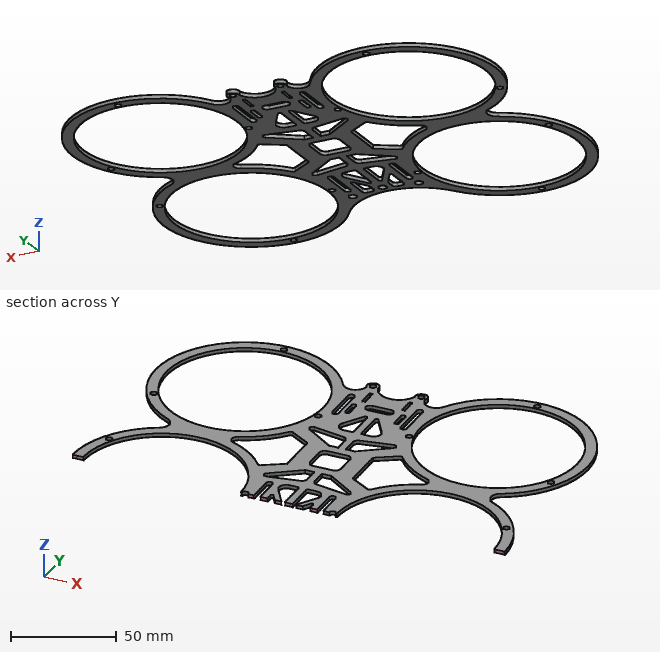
import cadquery as cq
import math

thickness = 2.0
ring_x = 66.1
ring_y = 46.5
ring_radius = 46.7
ring_bore = 82.2

rear_blend_radius = 34.0
waist_blend_radius = 5.2
notch_radius = 5.9
scoop_radius = 10.2

tab_x = 12.6
tab_y = 75.0
tab_radius = 3.2
tab_neck_radius = 2.7

small_hole = 3.2
large_hole = 4.0
ring_hole_circle = 43.3

end_hole_angle = 90
outer_hole_angle = 210
front_inner_hole_angle = -12
rear_inner_hole_angle = -0.7

rear_middle_hole_y = -54.0
rear_side_hole_x = 17.5
rear_side_hole_y = -57.0

spine_half_width = 17.2
spine_half_length = 11.3
window_slope = 31.5
window_corner_radius = 1.1
window_tip_radius = 3.2
center_opening = 16.0
center_opening_corner = 3.0

web_half_width = 2.0
brace_slope = 57.5

arm_near_y = 13.3
arm_far_y = 23.5
arm_near_width = 4.7
arm_near_slope = 35.2
arm_far_slope = 10.2
arm_tip_radius = 1.5
arm_web_radius = 2.7

triangle_base_y = 30.0
triangle_width = 12.0
triangle_outer_radius = 3.8
triangle_small_radius = 1.0

wedge_outer_x = 11.0
wedge_inner_x = 5.0
wedge_base_y = -56.0
wedge_apex_y = -40.2
wedge_apex_radius = 0.7
wedge_bend_radius = 4.5
wedge_base_radius = 1.8

round_slots = [
    (17.8, 53.0, 3.2, 21.0),
    (12.9, 50.5, 2.3, 9.3),
    (16.5, -41.0, 3.2, 20.3),
]
square_slot_x = 10.4
square_slot_y = 63.9
square_slot_width = 1.47
square_slot_length = 8.4
cross_slot_y = 55.0
cross_slot_width = 4.7
cross_slot_length = 14.5


def touching_circle(first, second, radius):
    """Circle touching two (x, y, radius) circles, on the right going from first to second."""
    dx = second[0] - first[0]
    dy = second[1] - first[1]
    gap = math.hypot(dx, dy)
    to_first = first[2] + radius
    to_second = second[2] + radius
    along = (gap**2 + to_first**2 - to_second**2) / (2 * gap)
    aside = math.sqrt(to_first**2 - along**2)
    x = first[0] + (along * dx + aside * dy) / gap
    y = first[1] + (along * dy - aside * dx) / gap
    return (x, y, radius)


def direction(start, end):
    """Angle of the line from one point or circle center to another."""
    return math.atan2(end[1] - start[1], end[0] - start[0])


def on_circle(circle, angle):
    return (circle[0] + circle[2] * math.cos(angle), circle[1] + circle[2] * math.sin(angle))


def outline():
    """Counterclockwise chain of touching circles, convex ones alternating with concave blends."""
    rear_right = (ring_x, -ring_y, ring_radius)
    front_right = (ring_x, ring_y, ring_radius)
    tab_right = (tab_x, tab_y, tab_neck_radius)
    tab_left = (-tab_x, tab_y, tab_neck_radius)
    front_left = (-ring_x, ring_y, ring_radius)
    rear_left = (-ring_x, -ring_y, ring_radius)
    convex = [rear_right, front_right, tab_right, tab_left, front_left, rear_left]
    blends = [
        waist_blend_radius,
        notch_radius,
        scoop_radius,
        notch_radius,
        waist_blend_radius,
        rear_blend_radius,
    ]
    chain = []
    for index, circle in enumerate(convex):
        following = convex[(index + 1) % len(convex)]
        chain += [circle, touching_circle(circle, following, blends[index])]

    wire = cq.Workplane("XY").moveTo(*on_circle(chain[0], direction(chain[0], chain[-1])))
    for index, circle in enumerate(chain):
        start = direction(circle, chain[index - 1])
        end = direction(circle, chain[(index + 1) % len(chain)])
        turn = 1 if index % 2 == 0 else -1
        sweep = turn * ((turn * (end - start)) % (2 * math.pi))
        wire = wire.threePointArc(on_circle(circle, start + sweep / 2), on_circle(circle, end))
    return wire.close().extrude(thickness)


def rounded_polygon(corners):
    """Prism with (x, y, radius) corners; a zero radius leaves the corner sharp."""
    prism = cq.Workplane("XY").polyline([(x, y) for x, y, _ in corners]).close().extrude(thickness)
    for x, y, radius in corners:
        if radius > 0:
            corner_edge = cq.selectors.NearestToPointSelector((x, y, thickness / 2))
            prism = prism.edges("|Z").edges(corner_edge).fillet(radius)
    return prism


def with_mirror(body, plane):
    """The body joined with its mirror image in the named plane."""
    return body.union(body.mirror(plane))


def prisms(points, sketch):
    """Plate-thick prisms of one sketched shape at each point."""
    return sketch(cq.Workplane("XY").pushPoints(points)).extrude(thickness)


def ring_bores():
    places = [(x, y) for x in (-ring_x, ring_x) for y in (-ring_y, ring_y)]
    return prisms(places, lambda plane: plane.circle(ring_bore / 2))


def side_windows():
    """Openings between the spine and the ring rims, one on each side."""
    reach = ring_x - spine_half_width
    slope_y = spine_half_length + reach * math.tan(math.radians(window_slope))
    blank = rounded_polygon([
        (spine_half_width, -spine_half_length, 0),
        (ring_x, -slope_y, 0),
        (ring_x, slope_y, 0),
        (spine_half_width, spine_half_length, 0),
    ])
    rims = prisms([(ring_x, ring_y), (ring_x, -ring_y)], lambda plane: plane.circle(ring_radius))
    window = blank.cut(rims)
    window = window.edges("|Z and >X").fillet(window_tip_radius)
    window = window.edges("|Z and (>Y or <Y)").fillet(window_corner_radius)
    return with_mirror(window, "YZ")


def arm_openings():
    """Four tapered openings beside the web, fore and aft of the center opening."""
    near_slope = math.tan(math.radians(arm_near_slope))
    far_slope = math.tan(math.radians(arm_far_slope))
    near_x = web_half_width + arm_near_width
    depth = arm_far_y - arm_near_y
    tip_reach = (depth + near_slope * arm_near_width) / (near_slope - far_slope)
    opening = rounded_polygon([
        (web_half_width, arm_near_y, 0),
        (near_x, arm_near_y, 0),
        (web_half_width + tip_reach, arm_far_y + far_slope * tip_reach, arm_tip_radius),
        (web_half_width, arm_far_y, arm_web_radius),
    ])
    return with_mirror(with_mirror(opening, "YZ"), "XZ")


def triangle_openings():
    """Four triangles beside the web, tapering away from the center."""
    apex_y = triangle_base_y + triangle_width * math.tan(math.radians(brace_slope))
    opening = rounded_polygon([
        (web_half_width, triangle_base_y, triangle_small_radius),
        (web_half_width + triangle_width, triangle_base_y, triangle_outer_radius),
        (web_half_width, apex_y, triangle_small_radius),
    ])
    return with_mirror(with_mirror(opening, "YZ"), "XZ")


def wedge_openings():
    """Two wedges at the rear, their slanted sides parallel to the rear triangles."""
    bend_y = wedge_apex_y - (wedge_outer_x - wedge_inner_x) * math.tan(math.radians(brace_slope))
    opening = rounded_polygon([
        (wedge_outer_x, wedge_base_y, wedge_base_radius),
        (wedge_outer_x, wedge_apex_y, wedge_apex_radius),
        (wedge_inner_x, bend_y, wedge_bend_radius),
        (wedge_inner_x, wedge_base_y, wedge_base_radius),
    ])
    return with_mirror(opening, "YZ")


def center_square():
    blank = cq.Workplane("XY").rect(center_opening, center_opening).extrude(thickness)
    return blank.edges("|Z").fillet(center_opening_corner)


def slots():
    cutter = prisms([(0, cross_slot_y)], lambda plane: plane.slot2D(cross_slot_length, cross_slot_width))
    square_places = [(-square_slot_x, square_slot_y), (square_slot_x, square_slot_y)]
    square_slots = prisms(square_places, lambda plane: plane.rect(square_slot_width, square_slot_length))
    cutter = cutter.union(square_slots)
    for x, y, width, length in round_slots:
        cutter = cutter.union(prisms([(-x, y), (x, y)], lambda plane: plane.slot2D(length, width, 90)))
    return cutter


def tab_places():
    return [(-tab_x, tab_y), (tab_x, tab_y)]


def small_hole_places():
    """Three holes on each ring and one in each tab."""
    places = tab_places()
    for side in (-1, 1):
        for end, inner_angle in ((1, front_inner_hole_angle), (-1, rear_inner_hole_angle)):
            for angle in (end_hole_angle, outer_hole_angle, inner_angle):
                offset_x, offset_y = on_circle((0, 0, ring_hole_circle), math.radians(angle))
                places.append((side * (ring_x - offset_x), end * (ring_y + offset_y)))
    return places


def rear_hole_places():
    """A row of three holes along the rear edge."""
    sides = [(side * rear_side_hole_x, rear_side_hole_y) for side in (-1, 1)]
    return [(0, rear_middle_hole_y)] + sides


result = outline()
result = result.union(prisms(tab_places(), lambda plane: plane.circle(tab_radius)))
result = result.cut(ring_bores())
result = result.cut(side_windows())
result = result.cut(center_square())
result = result.cut(arm_openings())
result = result.cut(triangle_openings())
result = result.cut(wedge_openings())
result = result.cut(slots())
result = result.cut(prisms(small_hole_places(), lambda plane: plane.circle(small_hole / 2)))
result = result.cut(prisms(rear_hole_places(), lambda plane: plane.circle(large_hole / 2)))